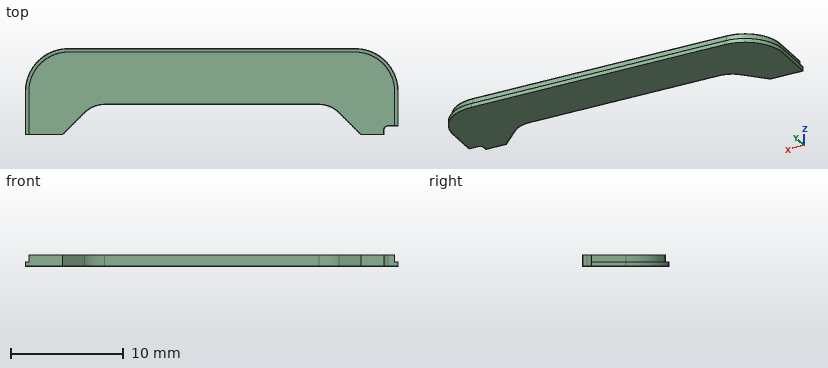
import cadquery as cq

length = 33.02
depth = 7.62
thickness = 1.016

lip_width = 0.305
lip_thickness = 0.381
outer_corner_radius = 3.81

foot_width = 3.302
recess_depth = 2.667
recess_corner_radius = 2.54

notch_width = 1.27
notch_depth = 0.762
notch_corner_radius = 0.381

half_length = length / 2


def rounded_plate(inset, height):
    """Plate inset from the back and both ends, with its two back corners rounded."""
    return (
        cq.Workplane("XY")
        .rect(length - 2 * inset, depth - inset)
        .extrude(height)
        .translate((0, (depth - inset) / 2, 0))
        .edges("|Z and >Y")
        .fillet(outer_corner_radius - inset)
    )


def leg_recess():
    """Trapezoidal cutter that separates the legs, with rounded inner corners."""
    mouth_half_width = half_length - foot_width
    floor_half_width = mouth_half_width - recess_depth
    return (
        cq.Workplane("XY")
        .moveTo(-mouth_half_width, 0)
        .lineTo(mouth_half_width, 0)
        .lineTo(floor_half_width, recess_depth)
        .lineTo(-floor_half_width, recess_depth)
        .close()
        .extrude(thickness)
        .edges("|Z and >Y")
        .fillet(recess_corner_radius)
    )


def corner_notch():
    """Rectangular cutter for the right leg, with its inner corner rounded."""
    return (
        cq.Workplane("XY")
        .rect(notch_width, notch_depth)
        .extrude(thickness)
        .translate((half_length - notch_width / 2, notch_depth / 2, 0))
        .edges("|Z and <X and >Y")
        .fillet(notch_corner_radius)
    )


base = rounded_plate(0, lip_thickness)
body = rounded_plate(lip_width, thickness)
result = base.union(body).cut(leg_recess()).cut(corner_notch())